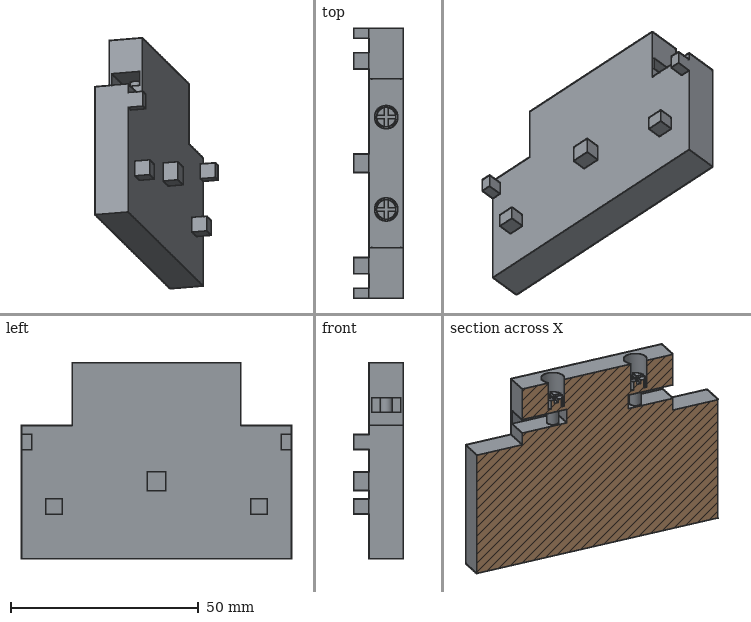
import cadquery as cq

body_thickness = 9.2
body_length = 72.0
body_height = 52.3
shoulder_height = 35.6
raised_length = 45.0

tab_reach = 4.1
tab_height = 4.1
end_tab_length = 2.7
end_tab_bottom = 29.1
lower_tab_length = 4.4
lower_tab_bottom = 11.9
lower_tab_edge_gap = 6.5
centre_tab_size = 5.0
centre_tab_bottom = 18.2

screw_offset = 12.3
screw_hole_diameter = 6.2
screw_hole_depth = 8.0
screw_head_diameter = 5.2
screw_head_height = 2.5
screw_shank_diameter = 3.3
drive_slot_width = 1.0
drive_slot_depth = 1.0

window_width = 7.8
window_height = 3.9
window_bottom = 39.1

mid_x = body_thickness / 2
screw_hole_floor = body_height - screw_hole_depth
screw_head_top = screw_hole_floor + screw_head_height
window_end_y = screw_offset - screw_hole_diameter / 2
window_depth = raised_length / 2 - window_end_y


def box(size, x_min, y_mid, z_min):
    """Box centred on y_mid, starting from x_min and z_min."""
    solid = cq.Workplane("XY").box(*size, centered=(False, True, False))
    return solid.translate((x_min, y_mid, z_min))


def cylinder(diameter, height, y, z_min):
    """Upright cylinder on the middle plane of the body thickness."""
    solid = cq.Workplane("XY").circle(diameter / 2).extrude(height)
    return solid.translate((mid_x, y, z_min))


def make_body():
    lower = box((body_thickness, body_length, shoulder_height), 0, 0, 0)
    raised = box((body_thickness, raised_length, body_height), 0, 0, 0)
    return lower.union(raised)


def make_tab(length, height, y_mid, z_min):
    return box((tab_reach, length, height), -tab_reach, y_mid, z_min)


def make_window(side):
    """Blind pocket reaching from one raised end to just past the screw shank."""
    y_mid = side * (raised_length / 2 - window_depth / 2)
    size = (window_width, window_depth, window_height)
    return box(size, mid_x - window_width / 2, y_mid, window_bottom)


def make_screw(y):
    """Cross-slotted head on the hole floor, with a shank down through the window."""
    head = cylinder(screw_head_diameter, screw_head_height, y, screw_hole_floor)
    for length_x, length_y in (
        (screw_head_diameter, drive_slot_width),
        (drive_slot_width, screw_head_diameter),
    ):
        slot_size = (length_x, length_y, drive_slot_depth)
        slot_bottom = screw_head_top - drive_slot_depth
        head = head.cut(box(slot_size, mid_x - length_x / 2, y, slot_bottom))
    shank_height = screw_hole_floor - window_bottom
    shank = cylinder(screw_shank_diameter, shank_height, y, window_bottom)
    return head.union(shank)


result = make_body()
result = result.union(make_tab(centre_tab_size, centre_tab_size, 0, centre_tab_bottom))

for side in (-1, 1):
    end_tab_y = side * (body_length - end_tab_length) / 2
    lower_tab_y = side * (body_length / 2 - lower_tab_edge_gap - lower_tab_length / 2)
    result = result.union(make_tab(end_tab_length, tab_height, end_tab_y, end_tab_bottom))
    result = result.union(make_tab(lower_tab_length, tab_height, lower_tab_y, lower_tab_bottom))

    screw_y = side * screw_offset
    result = result.cut(make_window(side))
    result = result.cut(cylinder(screw_hole_diameter, screw_hole_depth, screw_y, screw_hole_floor))
    result = result.union(make_screw(screw_y))